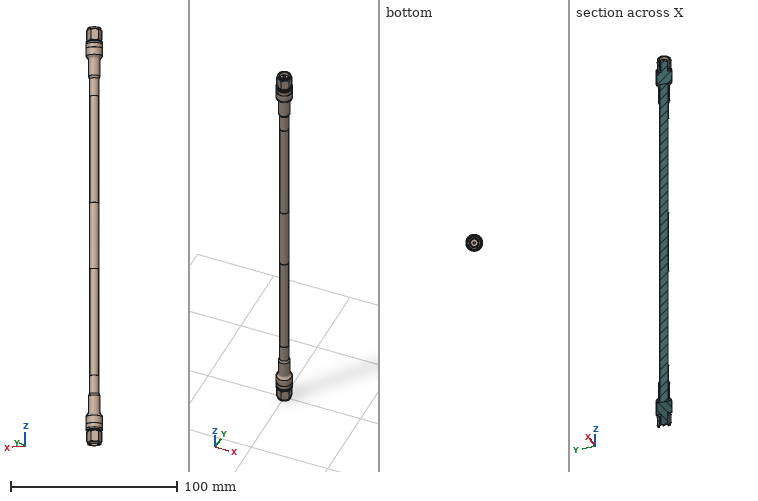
import cadquery as cq
import math

OVERALL_LENGTH = 256.24
PLUG_TIP = OVERALL_LENGTH / 2

CABLE_RADIUS = 2.75
JACKET_WALL = 0.2
JACKET_RADIUS = CABLE_RADIUS + JACKET_WALL
LABEL_LENGTH = 40.64
STRAIN_RELIEF_START = 86.0
CABLE_END = 111.0

BOOT_RADIUS = 5.08
BOOT_NECK_RADIUS = 3.6
BOOT_START = 96.9
BOOT_TAPER_END = 98.4
BOOT_SHOULDER_START = 108.4
BOOT_SHOULDER_END = 111.5
BOOT_END = 119.3

CORE_RADIUS = 4.6
FLANGE_RADIUS = 4.8
FLANGE_START = 115.6
FLANGE_END = 118.2
NOSE_RADIUS = 2.25
NOSE_END = 126.5
PIN_RADIUS = 0.635
PIN_END = 127.5

NUT_ACROSS_FLATS = 8.0
HEX_CORNER_RADIUS = NUT_ACROSS_FLATS / math.sqrt(3)
FLAT_TURN = 30.0
NUT_COLLAR_RADIUS = 3.95
NUT_REAR_COLLAR_END = 120.0
NUT_FRONT_COLLAR_START = 127.0
NUT_TIP_CHAMFER = 0.25
NUT_REAR_WALL = 1.5
NUT_BORE_RADIUS = 2.9
CORNER_CHAMFER_ANGLE = 45.0


def cylinder(radius, start, end):
    """Solid cylinder on the Z axis between two heights."""
    return cq.Workplane("XY").workplane(offset=start).circle(radius).extrude(end - start)


def revolve(profile):
    """Turn a closed profile, drawn with radius along X and height along Z, about the Z axis."""
    return profile.close().revolve(360, (0, 0, 0), (0, 1, 0))


def make_cable():
    """Plain round cable between the two connector cores."""
    return cylinder(CABLE_RADIUS, -CABLE_END, CABLE_END)


def make_label():
    """Thin marker sleeve around the middle of the cable."""
    half = LABEL_LENGTH / 2
    return cylinder(JACKET_RADIUS, -half, half).cut(cylinder(CABLE_RADIUS, -half, half))


def make_strain_relief():
    """Thin tube on the cable that runs on into the boot."""
    tube = cylinder(JACKET_RADIUS, STRAIN_RELIEF_START, CABLE_END)
    return tube.cut(cylinder(CABLE_RADIUS, STRAIN_RELIEF_START, CABLE_END))


def make_core():
    """Connector core: flanged body, nose inside the nut and centre pin."""
    body = cylinder(CORE_RADIUS, CABLE_END, BOOT_END)
    flange = cylinder(FLANGE_RADIUS, FLANGE_START, FLANGE_END)
    nose = cylinder(NOSE_RADIUS, BOOT_END, NOSE_END)
    pin = cylinder(PIN_RADIUS, NOSE_END, PIN_END)
    return body.union(flange).union(nose).union(pin)


def make_boot(strain_relief_space, core):
    """Boot with a tapered tail, a narrow neck and an S-shaped shoulder up to the barrel."""
    shoulder_radius = (BOOT_NECK_RADIUS + BOOT_RADIUS) / 2
    shoulder_middle = (BOOT_SHOULDER_START + BOOT_SHOULDER_END) / 2
    profile = (
        cq.Workplane("XZ")
        .moveTo(0, BOOT_START)
        .lineTo(JACKET_RADIUS, BOOT_START)
        .lineTo(BOOT_NECK_RADIUS, BOOT_TAPER_END)
        .lineTo(BOOT_NECK_RADIUS, BOOT_SHOULDER_START)
        .tangentArcPoint((shoulder_radius, shoulder_middle), relative=False)
        .tangentArcPoint((BOOT_RADIUS, BOOT_SHOULDER_END), relative=False)
        .lineTo(BOOT_RADIUS, BOOT_END)
        .lineTo(0, BOOT_END)
    )
    return revolve(profile).cut(strain_relief_space).cut(core)


def corner_chamfer_envelope():
    """Round body whose conical ends cut the corners of the hexagon."""
    overhang = HEX_CORNER_RADIUS - NUT_COLLAR_RADIUS
    cone_height = overhang * math.tan(math.radians(CORNER_CHAMFER_ANGLE))
    profile = (
        cq.Workplane("XZ")
        .moveTo(0, NUT_REAR_COLLAR_END)
        .lineTo(NUT_COLLAR_RADIUS, NUT_REAR_COLLAR_END)
        .lineTo(HEX_CORNER_RADIUS, NUT_REAR_COLLAR_END + cone_height)
        .lineTo(HEX_CORNER_RADIUS, NUT_FRONT_COLLAR_START - cone_height)
        .lineTo(NUT_COLLAR_RADIUS, NUT_FRONT_COLLAR_START)
        .lineTo(0, NUT_FRONT_COLLAR_START)
    )
    return revolve(profile)


def make_nut():
    """Hexagonal coupling nut with flats facing X and a round collar at each end."""
    hexagon = (
        cq.Workplane("XY")
        .workplane(offset=NUT_REAR_COLLAR_END)
        .polygon(6, 2 * HEX_CORNER_RADIUS)
        .extrude(NUT_FRONT_COLLAR_START - NUT_REAR_COLLAR_END)
        .rotate((0, 0, 0), (0, 0, 1), FLAT_TURN)
        .intersect(corner_chamfer_envelope())
    )
    collars = cylinder(NUT_COLLAR_RADIUS, BOOT_END, PLUG_TIP)
    collars = collars.faces(">Z").edges().chamfer(NUT_TIP_CHAMFER)
    rear_hole = cylinder(NOSE_RADIUS, BOOT_END, PLUG_TIP)
    bore = cylinder(NUT_BORE_RADIUS, BOOT_END + NUT_REAR_WALL, PLUG_TIP)
    return hexagon.union(collars).cut(rear_hole).cut(bore)


cable = make_cable()
label = make_label()
core = make_core()
strain_relief = make_strain_relief()
boot = make_boot(cylinder(JACKET_RADIUS, BOOT_START, CABLE_END), core)
nut = make_nut()

bodies = [*cable.solids().vals(), *label.solids().vals()]
for plug_body in (strain_relief, boot, core, nut):
    for copy in (plug_body, plug_body.mirror("XY")):
        bodies.extend(copy.solids().vals())

result = cq.Compound.makeCompound(bodies)